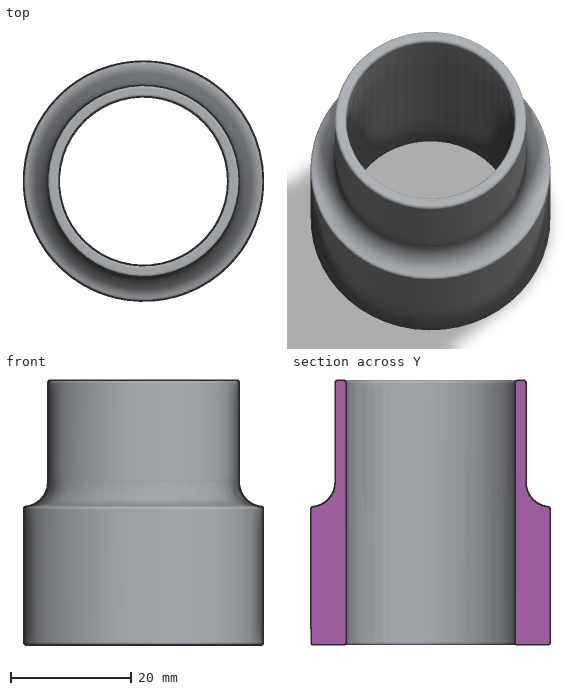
import cadquery as cq

height = 44.0
large_diameter = 39.8
small_diameter = 31.8
bore_diameter = 28.0
shoulder_height = 23.0
edge_round = 0.5

large_radius = large_diameter / 2
small_radius = small_diameter / 2
bore_radius = bore_diameter / 2
bottom_z = -height / 2
top_z = height / 2
shoulder_z = bottom_z + shoulder_height

cove_radius = large_radius - small_radius

sleeve = (
    cq.Workplane("XZ")
    .moveTo(bore_radius, bottom_z)
    .lineTo(large_radius, bottom_z)
    .lineTo(large_radius, shoulder_z)
    .radiusArc((small_radius, shoulder_z + cove_radius), cove_radius)
    .lineTo(small_radius, top_z)
    .lineTo(bore_radius, top_z)
    .close()
    .revolve(360, (0, 0, 0), (0, 1, 0))
)

sleeve = sleeve.faces("<Z or >Z").edges().fillet(edge_round)

shoulder_edge = cq.selectors.BoxSelector(
    (-large_radius, -large_radius, shoulder_z - edge_round / 2),
    (large_radius, large_radius, shoulder_z + edge_round / 2),
)
result = sleeve.edges("%CIRCLE").edges(shoulder_edge).fillet(edge_round)